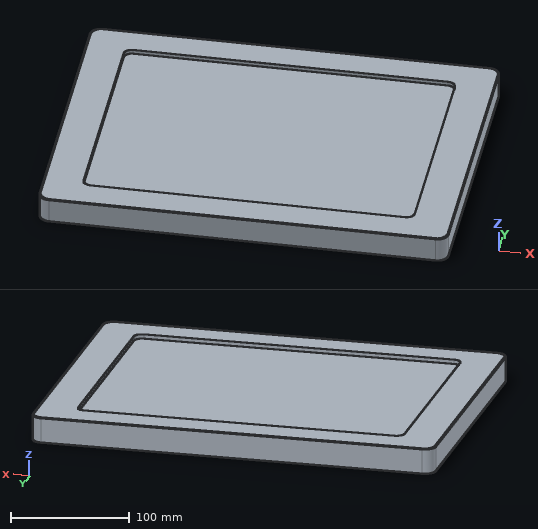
import cadquery as cq

length = 351.2
width = 259.5
thickness = 22.5
corner_radius = 9.5
edge_chamfer = 0.7

recess_length = 284.5
recess_width = 205.5
recess_depth = 4.0
recess_corner_radius = 7.0


def rounded_slab(size_x, size_y, height, radius):
    """Slab centred on the Z axis, standing on Z = 0, with rounded vertical edges."""
    slab = cq.Workplane("XY").rect(size_x, size_y).extrude(height)
    return slab.edges("|Z").fillet(radius)


plate = rounded_slab(length, width, thickness, corner_radius)
plate = plate.faces(">Z").edges().chamfer(edge_chamfer)

recess = rounded_slab(recess_length, recess_width, recess_depth, recess_corner_radius)
recess = recess.translate((0, 0, thickness - recess_depth))

result = plate.cut(recess)